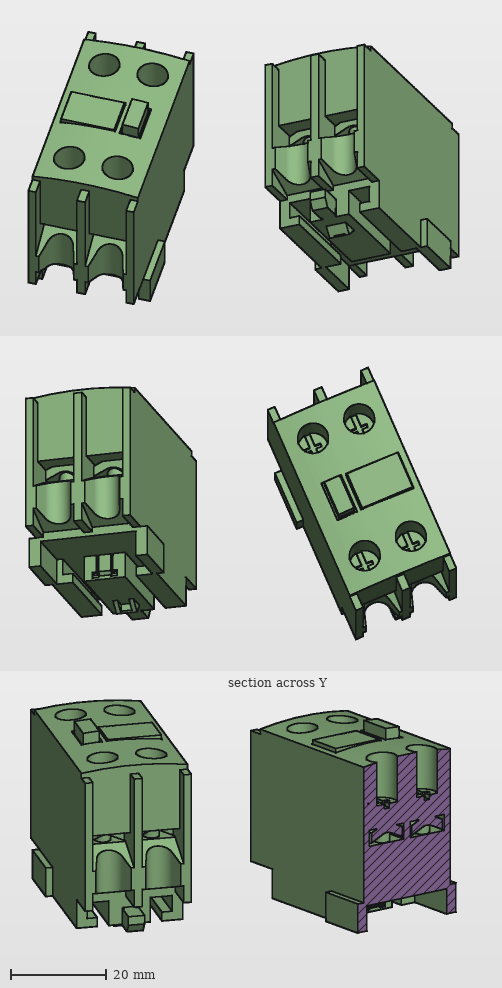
import cadquery as cq
import math


housing_width = 23.0
housing_length = 47.0
cover_length = 40.5
base_length = 32.2
base_top = 6.4
wall_top = 35.0
cover_edge_z = 36.07
cover_crown_z = 36.95
outer_wall = 1.65
middle_wall = 1.8
half_width = housing_width / 2
half_length = housing_length / 2
half_cover = cover_length / 2
half_base = base_length / 2
crown_rise = cover_crown_z - cover_edge_z
crown_radius = (half_width**2 + crown_rise**2) / (2 * crown_rise)
crown_center_z = cover_crown_z - crown_radius

pocket_inner_x = middle_wall / 2
pocket_width = half_width - outer_wall - pocket_inner_x
pole_x = pocket_inner_x + pocket_width / 2
sill_bottom = 7.4
lip_bottom = 10.2
lip_top = 15.2
sill_top = 18.5
cavity_top = 21.9
wire_mouth = 7.6
wire_depth = 5.4
wire_radius = 2.9

screw_x = 5.28
screw_y = 13.74
screw_hole_diameter = 6.45
screw_head_z = 27.0
shaft_diameter = 3.4
slot_depth = 1.0
long_slot_width = 1.15
cross_slot_length = 3.65
cross_slot_width = 0.75
cavity_inner_y = 10.5

clamp_width = 8.2
clamp_length = 4.8
clamp_thickness = 2.25
clamp_slope = 0.46
clamp_bend_radius = 2.8
clamp_edge_z = {-1: 19.0, 1: 18.75}

slab_bottom = 5.5
foot_outer_x = 13.0
foot_inner_x = 10.5
foot_end_y = -4.5
hook_inner_x = 9.2
hook_tip_x = 7.0
hook_height = 2.0
center_half_width = 4.5

tongue_half_width = 1.35
slit_width = 0.45
slit_bottom = 1.5
slit_depth = 1.0
window_half_width = 2.75
window_bottom = 0.5
window_ridge_z = 1.15
window_top = 1.8
window_depth = 0.8
window_ridge_setback = 0.2
ramp_bottom = 0.8
catch_half_width = 2.25
catch_front_y = 8.6
catch_tip_y = 11.2
catch_back_y = 12.9
catch_drop = 2.06
catch_notch_half_width = 1.25
catch_notch_drop = 1.7
handle_end_y = 22.0
handle_neck_y = 16.6
handle_height = 3.8
handle_chamfer_length = 1.2
handle_chamfer_height = 1.9
handle_half_width = 1.75
neck_upper_half_width = 1.35
neck_lower_half_width = 1.55

label_x = (-9.85, 1.75)
label_y = (-3.85, 4.2)
label_top = 37.15
label_gap = 0.15
label_right_gap = 0.3
label_recess_floor = 36.0
button_x = (3.5, 7.0)
button_y = (-3.7, 3.9)
button_top = 39.13
button_gap = 0.5
button_recess_floor = 36.0


def box(x_range, y_range, z_range):
    """Axis-aligned box from its three (low, high) ranges."""
    low = (x_range[0], y_range[0], z_range[0])
    size = (x_range[1] - low[0], y_range[1] - low[1], z_range[1] - low[2])
    return cq.Workplane("XY").box(*size, centered=False).translate(low)


def centered_box(half_x, y_range, z_range):
    """Box that is symmetric about X = 0."""
    return box((-half_x, half_x), y_range, z_range)


def extrude_along_x(points, x_range):
    """Prism along X from an outline given as (y, z) points."""
    prism = cq.Workplane("YZ").polyline(points).close().extrude(x_range[1] - x_range[0])
    return prism.translate((x_range[0], 0, 0))


def both_sides(shape):
    """Shape joined with its mirror image across X = 0."""
    return shape.union(shape.mirror("YZ"))


def crowned_height(x, radius):
    """Height at x of the cylinder that shares its axis with the cover."""
    return crown_center_z + math.sqrt(radius**2 - x**2)


def make_housing():
    walls = centered_box(half_width, (-half_length, half_length), (base_top, wall_top))
    base = centered_box(half_width, (-half_base, half_base), (0, base_top))
    cover = (
        cq.Workplane("XZ")
        .moveTo(-half_width, base_top)
        .lineTo(-half_width, cover_edge_z)
        .threePointArc((0, cover_crown_z), (half_width, cover_edge_z))
        .lineTo(half_width, base_top)
        .close()
        .extrude(half_cover, both=True)
    )
    return walls.union(base).union(cover)


def wire_entry():
    """Tapered U-shaped slot through the lip of the -Y terminals, centered on X = 0."""
    half_mouth = wire_mouth / 2
    center_y = -half_length + wire_depth - wire_radius
    reach = math.hypot(half_mouth, center_y + half_length)
    taper = math.asin(wire_radius / reach) - math.atan2(half_mouth, center_y + half_length)
    tangent_x = wire_radius * math.cos(taper)
    tangent_y = center_y - wire_radius * math.sin(taper)
    return (
        cq.Workplane("XY")
        .moveTo(-half_mouth, -half_length)
        .lineTo(-tangent_x, tangent_y)
        .threePointArc((0, center_y + wire_radius), (tangent_x, tangent_y))
        .lineTo(half_mouth, -half_length)
        .close()
        .extrude(sill_top - sill_bottom)
        .translate((0, 0, sill_bottom))
    )


def terminal_cut(side):
    """Material removed for the -Y terminal of the pole on the given X side."""
    x_range = (side * pole_x - pocket_width / 2, side * pole_x + pocket_width / 2)
    above_lip = extrude_along_x(
        [
            (-half_length, lip_top),
            (-half_base, sill_top),
            (-cavity_inner_y, sill_top),
            (-cavity_inner_y, cavity_top),
            (-half_cover, cavity_top),
            (-half_cover, wall_top),
            (-half_length, wall_top),
        ],
        x_range,
    )
    below_lip = extrude_along_x(
        [
            (-half_length, lip_bottom),
            (-half_base, sill_bottom),
            (-half_base, base_top),
            (-half_length, base_top),
        ],
        x_range,
    )
    entry = wire_entry().translate((side * pole_x, 0, 0))
    return above_lip.union(below_lip).union(entry)


def screw_cut():
    """Screw hole with the cross slot in the screw head at its bottom."""
    hole_height = cover_crown_z - screw_head_z
    hole = cq.Workplane("XY").circle(screw_hole_diameter / 2).extrude(hole_height)
    long_slot = cq.Workplane("XY").rect(long_slot_width, screw_hole_diameter).extrude(-slot_depth)
    head = cq.Workplane("XY").circle(screw_hole_diameter / 2).extrude(-slot_depth)
    cross_slot = cq.Workplane("XY").rect(cross_slot_length, cross_slot_width).extrude(-slot_depth)
    cut = hole.union(long_slot.intersect(head)).union(cross_slot)
    return cut.translate((0, 0, screw_head_z))


def screw_shaft():
    shaft = cq.Workplane("XY").circle(shaft_diameter / 2).extrude(cavity_top - sill_top)
    return shaft.translate((0, 0, sill_top))


def clamp_plate(edge_z):
    """Plate bent to an inverted V, rising into the cavity roof."""
    half_clamp = clamp_width / 2
    ridge_z = edge_z + clamp_slope * half_clamp
    bend_angle = math.atan(clamp_slope)
    bend_x = clamp_bend_radius * math.sin(bend_angle)
    bend_end_z = ridge_z - clamp_slope * bend_x
    bend_top_z = bend_end_z + clamp_bend_radius * (1 - math.cos(bend_angle))
    return (
        cq.Workplane("XZ")
        .moveTo(-half_clamp, edge_z)
        .lineTo(-bend_x, bend_end_z)
        .threePointArc((0, bend_top_z), (bend_x, bend_end_z))
        .lineTo(half_clamp, edge_z)
        .lineTo(half_clamp, edge_z + clamp_thickness)
        .lineTo(0, ridge_z + clamp_thickness)
        .lineTo(-half_clamp, edge_z + clamp_thickness)
        .close()
        .extrude(clamp_length / 2, both=True)
    )


def add_terminals(body):
    for side in (-1, 1):
        cut = terminal_cut(side)
        body = body.cut(cut).cut(cut.mirror("XZ"))
        for end in (-1, 1):
            place = (side * screw_x, end * screw_y, 0)
            body = body.union(screw_shaft().translate(place))
            body = body.union(clamp_plate(clamp_edge_z[side]).translate(place))
            body = body.cut(screw_cut().translate(place))
    return body


def add_base(body):
    """Side feet, with the hooks and the center block starting behind them."""
    full_length = (-half_base, half_base)
    foot = box((foot_inner_x, foot_outer_x), (-half_base, foot_end_y), (0, base_top))
    groove = box((center_half_width, hook_inner_x), full_length, (0, slab_bottom))
    hook = box((hook_tip_x, hook_inner_x), full_length, (0, hook_height))
    body = body.union(both_sides(foot)).cut(both_sides(groove.cut(hook)))
    front_step = centered_box(foot_inner_x, (-half_base, foot_end_y), (0, slab_bottom))
    return body.cut(front_step)


def add_latch_front(body):
    """Tongue slits and the window in the front of the center block."""
    front_y = foot_end_y
    ridge_y = front_y + window_ridge_setback
    back_y = front_y + window_depth
    slit = box(
        (tongue_half_width, tongue_half_width + slit_width),
        (front_y, front_y + slit_depth),
        (slit_bottom, slab_bottom),
    )
    ridge_window = extrude_along_x(
        [
            (front_y, window_bottom),
            (back_y, window_bottom),
            (ridge_y, window_ridge_z),
            (back_y, window_top),
            (front_y, window_top),
        ],
        (tongue_half_width, window_half_width),
    )
    ramp = extrude_along_x(
        [(front_y, ramp_bottom), (back_y, ramp_bottom), (front_y, window_top)],
        (-tongue_half_width, tongue_half_width),
    )
    return body.cut(both_sides(slit)).cut(both_sides(ridge_window)).cut(ramp)


def add_catch(body):
    """Wedge under the base with a flat-backed notch in its sloping front."""
    wedge = extrude_along_x(
        [(catch_front_y, 0), (catch_tip_y, -catch_drop), (catch_back_y, 0)],
        (-catch_half_width, catch_half_width),
    )
    notch = centered_box(catch_notch_half_width, (catch_front_y, catch_tip_y), (-catch_notch_drop, 0))
    return body.union(wedge.cut(notch))


def add_handle(body):
    """Release handle of the latch at the +Y end, on a narrower two-step neck."""
    handle = extrude_along_x(
        [
            (handle_neck_y, 0),
            (handle_end_y - handle_chamfer_length, 0),
            (handle_end_y, handle_chamfer_height),
            (handle_end_y, handle_height),
            (handle_neck_y, handle_height),
        ],
        (-handle_half_width, handle_half_width),
    )
    neck_y = (half_base, handle_neck_y)
    lower_neck = centered_box(neck_lower_half_width, neck_y, (0, handle_chamfer_height))
    upper_neck = centered_box(neck_upper_half_width, neck_y, (handle_chamfer_height, handle_height))
    return body.union(handle).union(lower_neck).union(upper_neck)


def add_label(body):
    recess = box(
        (label_x[0] - label_gap, label_x[1] + label_right_gap),
        (label_y[0] - label_gap, label_y[1] + label_gap),
        (label_recess_floor, cover_crown_z),
    )
    plate = box(label_x, label_y, (label_recess_floor, label_top))
    return body.cut(recess).union(plate)


def add_button(body):
    """Push button with a top that follows the curve of the cover."""
    recess = box(
        (button_x[0] - button_gap, button_x[1] + button_gap),
        (button_y[0] - button_gap, button_y[1] + button_gap),
        (button_recess_floor, cover_crown_z),
    )
    top_radius = math.hypot(button_x[0], button_top - crown_center_z)
    middle_x = sum(button_x) / 2
    button = (
        cq.Workplane("XZ")
        .moveTo(button_x[0], button_recess_floor)
        .lineTo(button_x[0], button_top)
        .threePointArc(
            (middle_x, crowned_height(middle_x, top_radius)),
            (button_x[1], crowned_height(button_x[1], top_radius)),
        )
        .lineTo(button_x[1], button_recess_floor)
        .close()
        .extrude(button_y[0] - button_y[1])
        .translate((0, button_y[0], 0))
    )
    return body.cut(recess).union(button)


body = make_housing()
body = add_terminals(body)
body = add_base(body)
body = add_latch_front(body)
body = add_catch(body)
body = add_handle(body)
body = add_label(body)
result = add_button(body)